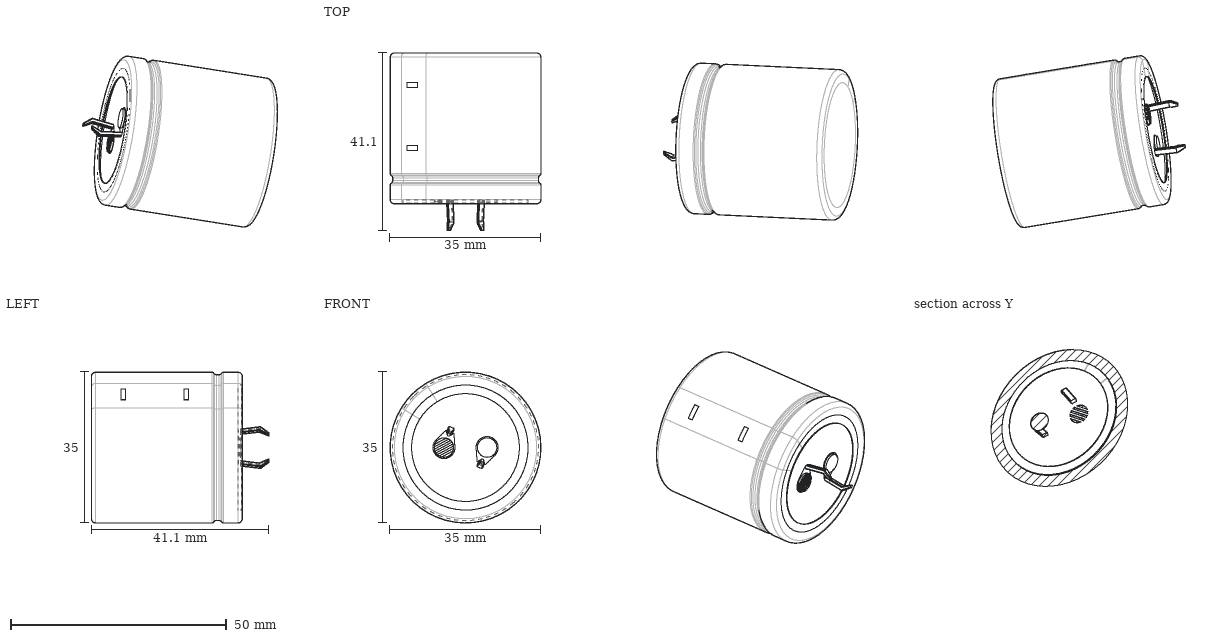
import cadquery as cq
import math

CAN_RADIUS = 17.5
CAN_LENGTH = 35.0
RIM_FILLET = 1.0

GROOVE_CENTRE_Y = 5.7
GROOVE_FLOOR_WIDTH = 0.6
GROOVE_EDGE_RADIUS = 0.39
GROOVE_CORNER_RADIUS = 0.64
GROOVE_CONE_WIDTH = 0.27
GROOVE_FLANK_ANGLE = 45.0

STRIPE_ANGLE = 135.0
STRIPE_SPAN = 26.6
BAR_LENGTH = 3.5
BAR_WIDTH = 1.15
BAR_HEIGHT = 0.02
BAR_Y_POSITIONS = (13.0, 27.6)

LIP_RADIUS = 12.5
LIP_THICKNESS = 0.2
LID_RADIUS = 14.5
LID_DEPTH = 0.95

TERMINAL_PITCH = 10.0
PLATE_RADIUS = 2.55
PLATE_THICKNESS = 0.02
PLATE_TAPER = 25.0
TERMINAL_TILT = 20.7
RIVET_RADIUS = 2.25
RIVET_HEIGHT = 0.5

RIB_PITCH = 0.96
RIB_WIDTH = 0.48
RIB_DEPTH = 0.25
RIVET_GROOVE_COUNT = 4
RIB_ANGLE = 28.0

PIN_WIDTH = 1.45
PIN_THICKNESS = 0.95
PIN_CHAMFER = 0.18
PIN_LENGTH = 6.14
PIN_ROOT_DISTANCE = 3.85
PIN_KNEE_DISTANCE = 4.5
PIN_TIP_DISTANCE = 3.25
PIN_KNEE_HEIGHT = 4.1
PIN_TIP_WIDTH = 0.7
PIN_TIP_THICKNESS = 0.75
PIN_TAPER_LENGTH = 1.5


def on_lid(height=0.0):
    """Workplane parallel to the lid, with x along X, y along Z and normal along -Y."""
    return cq.Workplane("XZ", origin=(0, LID_DEPTH - height, 0))


def can_sector(start_angle, span):
    """Sector of the grooved can; angles run from +X towards +Z."""
    angle = math.radians(GROOVE_FLANK_ANGLE)
    floor_y = GROOVE_FLOOR_WIDTH / 2
    corner_y = floor_y + GROOVE_CORNER_RADIUS * math.sin(angle)
    cone_y = corner_y + GROOVE_CONE_WIDTH
    edge_y = cone_y + GROOVE_EDGE_RADIUS * math.sin(angle)
    cone_radius = CAN_RADIUS - GROOVE_EDGE_RADIUS * (1 - math.cos(angle))
    corner_radius = cone_radius - GROOVE_CONE_WIDTH * math.tan(angle)
    floor_radius = corner_radius - GROOVE_CORNER_RADIUS * (1 - math.cos(angle))
    profile = (
        cq.Workplane("XY")
        .moveTo(LID_RADIUS, LIP_THICKNESS)
        .lineTo(LIP_RADIUS, LIP_THICKNESS)
        .lineTo(LIP_RADIUS, 0)
        .lineTo(CAN_RADIUS - RIM_FILLET, 0)
        .tangentArcPoint((CAN_RADIUS, RIM_FILLET), relative=False)
        .lineTo(CAN_RADIUS, GROOVE_CENTRE_Y - edge_y)
        .tangentArcPoint((cone_radius, GROOVE_CENTRE_Y - cone_y), relative=False)
        .lineTo(corner_radius, GROOVE_CENTRE_Y - corner_y)
        .tangentArcPoint((floor_radius, GROOVE_CENTRE_Y - floor_y), relative=False)
        .lineTo(floor_radius, GROOVE_CENTRE_Y + floor_y)
        .tangentArcPoint((corner_radius, GROOVE_CENTRE_Y + corner_y), relative=False)
        .lineTo(cone_radius, GROOVE_CENTRE_Y + cone_y)
        .tangentArcPoint((CAN_RADIUS, GROOVE_CENTRE_Y + edge_y), relative=False)
        .lineTo(CAN_RADIUS, CAN_LENGTH - RIM_FILLET)
        .tangentArcPoint((CAN_RADIUS - RIM_FILLET, CAN_LENGTH), relative=False)
        .lineTo(LID_RADIUS, CAN_LENGTH)
        .close()
    )
    sector = profile.revolve(span, (0, 0, 0), (0, -1, 0))
    return sector.rotate((0, 0, 0), (0, -1, 0), start_angle)


def minus_bar(y):
    """Thin curved bar on the stripe, centred at the given y."""
    shell = (
        cq.Workplane("XZ", origin=(0, y + BAR_WIDTH / 2, 0))
        .circle(CAN_RADIUS + BAR_HEIGHT)
        .circle(CAN_RADIUS - BAR_HEIGHT)
        .extrude(BAR_WIDTH)
    )
    window = (
        cq.Workplane("XY")
        .box(CAN_RADIUS * 2, BAR_WIDTH * 2, BAR_LENGTH, centered=(False, True, True))
        .translate((0, y, 0))
        .rotate((0, 0, 0), (0, -1, 0), STRIPE_ANGLE)
    )
    return shell.intersect(window)


def plate():
    """Teardrop plate around the origin, tapering along +Z to the pin."""
    taper = math.radians(PLATE_TAPER)
    tangent_x = PLATE_RADIUS * math.cos(taper)
    tangent_z = PLATE_RADIUS * math.sin(taper)
    end_half_width = tangent_x - (PIN_ROOT_DISTANCE - tangent_z) * math.tan(taper)
    return (
        on_lid()
        .moveTo(end_half_width, PIN_ROOT_DISTANCE)
        .lineTo(tangent_x, tangent_z)
        .threePointArc((0, -PLATE_RADIUS), (-tangent_x, tangent_z))
        .lineTo(-end_half_width, PIN_ROOT_DISTANCE)
        .close()
        .extrude(PLATE_THICKNESS)
    )


def pin():
    """Bent pin with chamfered long edges and a tapered tip, standing on the end of the plate."""
    half = PIN_THICKNESS / 2
    lean = math.atan2(PIN_KNEE_DISTANCE - PIN_ROOT_DISTANCE, PIN_KNEE_HEIGHT + LID_DEPTH)
    hook = math.atan2(PIN_KNEE_DISTANCE - PIN_TIP_DISTANCE, PIN_LENGTH - PIN_KNEE_HEIGHT)
    root_offset = half / math.cos(lean)
    bisector = (lean - hook) / 2
    knee_offset = half / math.cos((lean + hook) / 2)
    knee_z = knee_offset * math.cos(bisector)
    knee_y = knee_offset * math.sin(bisector)
    tip_half = PIN_TIP_THICKNESS / 2
    side = (
        cq.Workplane("YZ", origin=(-PIN_WIDTH / 2, 0, 0))
        .moveTo(LID_DEPTH, PIN_ROOT_DISTANCE - root_offset)
        .lineTo(-PIN_KNEE_HEIGHT - knee_y, PIN_KNEE_DISTANCE - knee_z)
        .lineTo(-PIN_LENGTH, PIN_TIP_DISTANCE - tip_half)
        .lineTo(-PIN_LENGTH, PIN_TIP_DISTANCE + tip_half)
        .lineTo(-PIN_KNEE_HEIGHT + knee_y, PIN_KNEE_DISTANCE + knee_z)
        .lineTo(LID_DEPTH, PIN_ROOT_DISTANCE + root_offset)
        .close()
        .extrude(PIN_WIDTH)
    )
    taper_start = PIN_TAPER_LENGTH - PIN_LENGTH
    outline = (
        cq.Workplane("XY")
        .moveTo(-PIN_WIDTH / 2, LID_DEPTH)
        .lineTo(-PIN_WIDTH / 2, taper_start)
        .lineTo(-PIN_TIP_WIDTH / 2, -PIN_LENGTH)
        .lineTo(PIN_TIP_WIDTH / 2, -PIN_LENGTH)
        .lineTo(PIN_WIDTH / 2, taper_start)
        .lineTo(PIN_WIDTH / 2, LID_DEPTH)
        .close()
        .extrude(2 * PIN_KNEE_DISTANCE)
    )
    bar = side.intersect(outline)
    return bar.edges("not (|X or |Z)").chamfer(PIN_CHAMFER)


def rivet_grooves():
    """Parallel grooves in the top of a rivet at the origin, leaving ribs between them."""
    return (
        on_lid(RIVET_HEIGHT)
        .transformed(rotate=(0, 0, RIB_ANGLE))
        .rarray(1, RIB_PITCH, 1, RIVET_GROOVE_COUNT)
        .rect(2 * PLATE_RADIUS, RIB_PITCH - RIB_WIDTH)
        .extrude(-RIB_DEPTH)
    )


def terminal(side, ribbed):
    """Complete terminal; side is -1 for the one at -X and 1 for the one at +X."""
    rivet = on_lid().circle(RIVET_RADIUS).extrude(RIVET_HEIGHT)
    if ribbed:
        rivet = rivet.cut(rivet_grooves())
    turn = TERMINAL_TILT if side < 0 else TERMINAL_TILT + 180
    base = plate().union(pin()).rotate((0, 0, 0), (0, 1, 0), turn)
    return base.union(rivet).translate((side * TERMINAL_PITCH / 2, 0, 0))


def lid():
    """Core of the can, whose end is the lid."""
    return on_lid().circle(LID_RADIUS).extrude(LID_DEPTH - CAN_LENGTH)


stripe = can_sector(STRIPE_ANGLE - STRIPE_SPAN / 2, STRIPE_SPAN)
rest = can_sector(STRIPE_ANGLE + STRIPE_SPAN / 2, 360 - STRIPE_SPAN)
result = rest.union(stripe, clean=False).union(lid(), clean=False)
for bar_y in BAR_Y_POSITIONS:
    result = result.union(minus_bar(bar_y), clean=False)
result = result.union(terminal(-1, True), clean=False).union(terminal(1, False), clean=False)